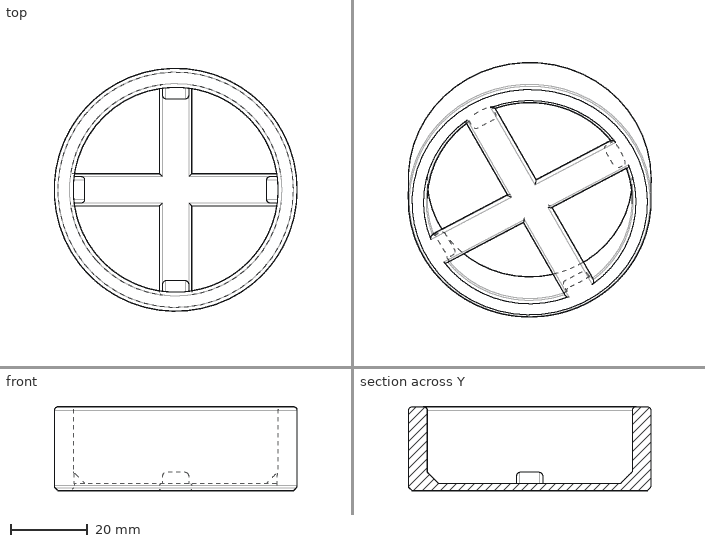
import cadquery as cq
import math

outer_diameter = 63.5
bore_diameter = 53.5
ring_height = 22.0
top_rounding = 1.0
bottom_chamfer = 1.0
bottom_rounding = 1.0

arm_width = 8.5
arm_thickness = 2.0
arm_rounding = 0.75

pad_inner_radius = 23.75
pad_slope_angle = 45.0
pad_rounding = 0.9
arm_count = 4

outer_radius = outer_diameter / 2
bore_radius = bore_diameter / 2
mid_wall_radius = (outer_radius + bore_radius) / 2
pad_width = arm_width - 2 * arm_rounding


def make_ring():
    ring = cq.Workplane("XY").circle(outer_radius).circle(bore_radius).extrude(ring_height)
    ring = ring.faces(">Z").edges().fillet(top_rounding)
    ring = ring.faces("<Z").edges().chamfer(bottom_chamfer)
    corner_margin = 0.1
    chamfer_corners = cq.selectors.BoxSelector(
        (-outer_diameter, -outer_diameter, bottom_chamfer - corner_margin),
        (outer_diameter, outer_diameter, bottom_chamfer + corner_margin),
        boundingbox=True,
    )
    return ring.edges(chamfer_corners).fillet(bottom_rounding)


def make_cross():
    """Two crossing bars with rounded long edges, ending inside the ring wall."""
    bar_length = 2 * mid_wall_radius
    bar = (
        cq.Workplane("XY")
        .box(bar_length, arm_width, arm_thickness, centered=(True, True, False))
        .edges("|X")
        .fillet(arm_rounding)
    )
    return bar.union(bar.rotate((0, 0, 0), (0, 0, 1), 90))


def make_pad():
    """Wedge on the +X arm, rising outwards into the ring wall."""
    run = mid_wall_radius - pad_inner_radius
    rise = run * math.tan(math.radians(pad_slope_angle))
    wedge = (
        cq.Workplane("XZ")
        .moveTo(pad_inner_radius, 0)
        .lineTo(mid_wall_radius, 0)
        .lineTo(mid_wall_radius, arm_thickness + rise)
        .lineTo(pad_inner_radius, arm_thickness)
        .close()
        .extrude(pad_width / 2, both=True)
    )
    sloped_face = wedge.faces(cq.selectors.DirectionMinMaxSelector(cq.Vector(-1, 0, 1)))
    return sloped_face.edges("not |Y").fillet(pad_rounding)


result = make_ring().union(make_cross())
pad = make_pad()
for index in range(arm_count):
    result = result.union(pad.rotate((0, 0, 0), (0, 0, 1), index * 360 / arm_count))